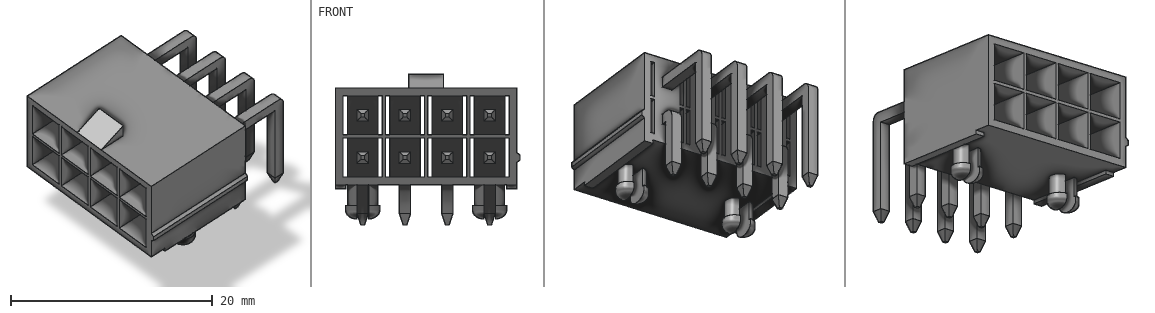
import cadquery as cq


columns = 4
rows = 2
pitch = 4.2

shell_width = 17.97
shell_depth = 12.8
shell_height = 9.6
cavity_side = 3.85
cavity_depth = 9.98
side_slot_width = 0.4

latch_width = 3.47
latch_length = 3.0
latch_height = 1.35

rail_width = 1.02
rail_height = 0.4
rail_front_y = 1.85

rib_height = 0.32
rib_base_width = 1.0
rib_crest_width = 0.52

peg_length = 3.0
peg_width = 2.05
peg_head_top_depth = 2.04
peg_rim_height = 0.48
peg_lip = 0.22
peg_dome_height = 0.9
peg_split = 1.15

pin_side = 1.14
pin_tip_side = 0.38
pin_tip_length = 1.14
pin_front_y = 4.0
pin_bottom_z = -4.0
upper_leg_back_y = 19.97
leg_row_spacing = 5.47
upper_bend_radius = 0.75
lower_bend_radius = 0.92

column_xs = [(i - (columns - 1) / 2) * pitch for i in range(columns)]
row_zs = [shell_height / 2 + (j - (rows - 1) / 2) * pitch for j in range(rows)]
lower_row_z, upper_row_z = row_zs


def box_between(x_range, y_range, z_range):
    """Box filling the given ranges along X, Y and Z."""
    size = [high - low for low, high in (x_range, y_range, z_range)]
    corner = (x_range[0], y_range[0], z_range[0])
    return cq.Workplane("XY").box(*size, centered=False).translate(corner)


def make_cavity(x, z):
    """Square contact cavity, with a slot along each side that runs on through the back wall."""
    half = cavity_side / 2
    z_range = (z - half, z + half)
    cavity = box_between((x - half, x + half), (0, cavity_depth), z_range)
    left_slot = box_between((x - half, x - half + side_slot_width), (0, shell_depth), z_range)
    right_slot = box_between((x + half - side_slot_width, x + half), (0, shell_depth), z_range)
    return cavity.union(left_slot).union(right_slot)


def make_pin_hole(x, z):
    """Square hole through the back wall that holds one pin."""
    half = pin_side / 2
    return box_between((x - half, x + half), (cavity_depth, shell_depth), (z - half, z + half))


def make_latch():
    """Ramp that rises backwards from the front edge of the roof."""
    return (
        cq.Workplane("YZ")
        .moveTo(0, shell_height)
        .lineTo(latch_length, shell_height)
        .lineTo(latch_length, shell_height + latch_height)
        .close()
        .extrude(latch_width / 2, both=True)
    )


def make_rib():
    """Full-length rib of trapezoid section on the +X side, level with the lower row."""
    side_x = shell_width / 2
    crest_x = side_x + rib_height
    return (
        cq.Workplane("XZ")
        .moveTo(side_x, lower_row_z - rib_base_width / 2)
        .lineTo(crest_x, lower_row_z - rib_crest_width / 2)
        .lineTo(crest_x, lower_row_z + rib_crest_width / 2)
        .lineTo(side_x, lower_row_z + rib_base_width / 2)
        .close()
        .extrude(-shell_depth)
    )


def make_rail(side):
    """Standoff rail along one lower side edge; side is -1 or +1."""
    x_range = sorted((side * shell_width / 2, side * (shell_width / 2 - rail_width)))
    return box_between(x_range, (rail_front_y, shell_depth), (-rail_height, 0))


def make_prong(side):
    """One prong of a board peg, on the given side of the split; side is -1 or +1."""
    shaft_radius = peg_width / 2
    head_radius = shaft_radius + peg_lip
    rim_z = -peg_head_top_depth - peg_rim_height
    post = (
        cq.Workplane("XZ")
        .lineTo(shaft_radius, 0)
        .lineTo(shaft_radius, -peg_head_top_depth)
        .lineTo(head_radius, -peg_head_top_depth)
        .lineTo(head_radius, rim_z)
        .ellipseArc(head_radius, peg_dome_height, -90, 0, startAtCurrent=True, sense=-1)
        .close()
        .revolve(360, (0, 0), (0, 1))
        .translate((side * (peg_length - peg_width) / 2, 0, 0))
    )
    outer_x = peg_length / 2 + peg_lip
    x_range = sorted((side * peg_split / 2, side * outer_x))
    prong_space = box_between(x_range, (-head_radius, head_radius), (rim_z - peg_dome_height, 0))
    return post.intersect(prong_space)


def make_peg(x):
    """Board peg with a domed, lipped head, split lengthwise into two prongs."""
    return make_prong(-1).union(make_prong(1)).translate((x, shell_depth / 2, 0))


def make_housing():
    """One-piece housing: shell, latch, rib, rails and pegs, with its cavities and pin holes."""
    half_width = shell_width / 2
    housing = box_between((-half_width, half_width), (0, shell_depth), (0, shell_height))
    housing = housing.union(make_latch()).union(make_rib())
    for side in (-1, 1):
        housing = housing.union(make_rail(side))
    for x in (column_xs[0], column_xs[-1]):
        housing = housing.union(make_peg(x))
    for x in column_xs:
        for z in row_zs:
            housing = housing.cut(make_cavity(x, z)).cut(make_pin_hole(x, z))
    return housing


def make_tip(plane):
    """Tapered square pin end, from the plane origin along the plane normal."""
    return (
        cq.Workplane(plane)
        .rect(pin_side, pin_side)
        .workplane(offset=pin_tip_length)
        .rect(pin_tip_side, pin_tip_side)
        .loft(ruled=True)
    )


def make_pin(x, z, leg_back_y, bend_radius):
    """Right-angle square pin: contact arm along Y, leg down along Z, tapered at both ends."""
    half = pin_side / 2
    arm_front_y = pin_front_y + pin_tip_length
    leg_bottom_z = pin_bottom_z + pin_tip_length
    leg_y = leg_back_y - half
    x_range = (x - half, x + half)

    arm = box_between(x_range, (arm_front_y, leg_back_y), (z - half, z + half))
    leg = box_between(x_range, (leg_y - half, leg_back_y), (leg_bottom_z, z + half))
    bent = arm.union(leg).edges("|X and >Y and >Z").fillet(bend_radius)

    contact_tip = make_tip(cq.Plane((x, arm_front_y, z), xDir=(1, 0, 0), normal=(0, -1, 0)))
    board_tip = make_tip(cq.Plane((x, leg_y, leg_bottom_z), xDir=(1, 0, 0), normal=(0, 0, -1)))
    return bent.union(contact_tip).union(board_tip)


housing = make_housing()

pins = []
for column_x in column_xs:
    upper_pin = make_pin(column_x, upper_row_z, upper_leg_back_y, upper_bend_radius)
    lower_leg_back_y = upper_leg_back_y - leg_row_spacing
    lower_pin = make_pin(column_x, lower_row_z, lower_leg_back_y, lower_bend_radius)
    pins.append(upper_pin.val())
    pins.append(lower_pin.val())

result = cq.Compound.makeCompound([housing.val(), *pins])